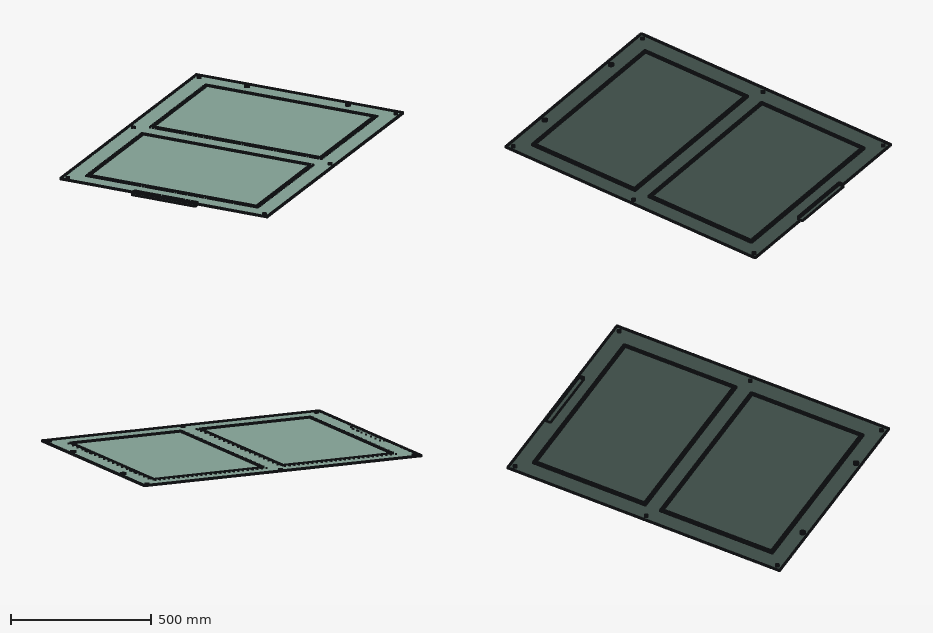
import cadquery as cq

frame_width = 820.0
frame_length = 1100.0
frame_thickness = 3.2

strip_length = 250.0
strip_depth = 20.0
strip_height = 10.0

window_width = 664.0
window_length = 437.0
window_gap = 77.0
window_offset = (window_gap + window_length) / 2

panel_lap = 9.0
panel_thickness = 3.0
panel_width = window_width + 2 * panel_lap
panel_length = window_length + 2 * panel_lap

fixing_hole_diameter = 10.0
hanging_hole_diameter = 15.0
hole_inset = 20.0
hanging_hole_spacing = 400.0

fixing_x = frame_width / 2 - hole_inset
end_hole_y = frame_length / 2 - hole_inset
fixing_points = [(x, y) for x in (-fixing_x, fixing_x) for y in (-end_hole_y, 0, end_hole_y)]
hanging_points = [(side * hanging_hole_spacing / 2, end_hole_y) for side in (-1, 1)]
window_centres = [(0, -window_offset), (0, window_offset)]


def plate(width, length, thickness, centre_y):
    """Flat plate with one face on z = 0 (negative thickness goes down), centred on the Y axis."""
    return cq.Workplane("XY").center(0, centre_y).rect(width, length).extrude(thickness)


def make_frame():
    """Sheet with two windows and through holes; its underside is at z = 0."""
    sheet = plate(frame_width, frame_length, frame_thickness, 0)
    windows = (
        cq.Workplane("XY")
        .pushPoints(window_centres)
        .rect(window_width, window_length)
        .extrude(frame_thickness)
    )
    fixing_holes = (
        cq.Workplane("XY")
        .pushPoints(fixing_points)
        .circle(fixing_hole_diameter / 2)
        .extrude(frame_thickness)
    )
    hanging_holes = (
        cq.Workplane("XY")
        .pushPoints(hanging_points)
        .circle(hanging_hole_diameter / 2)
        .extrude(frame_thickness)
    )
    return sheet.cut(windows).cut(fixing_holes).cut(hanging_holes)


def make_panel(centre_y):
    """Panel pressed against the underside of the frame, closing one window."""
    return plate(panel_width, panel_length, -panel_thickness, centre_y)


def make_strip():
    """Strip under the frame, flush with its -Y edge."""
    centre_y = (strip_depth - frame_length) / 2
    return plate(strip_length, strip_depth, -strip_height, centre_y)


frame = make_frame()
panels = [make_panel(y) for _, y in window_centres]
strip = make_strip()

result = cq.Compound.makeCompound([frame.val(), *[panel.val() for panel in panels], strip.val()])